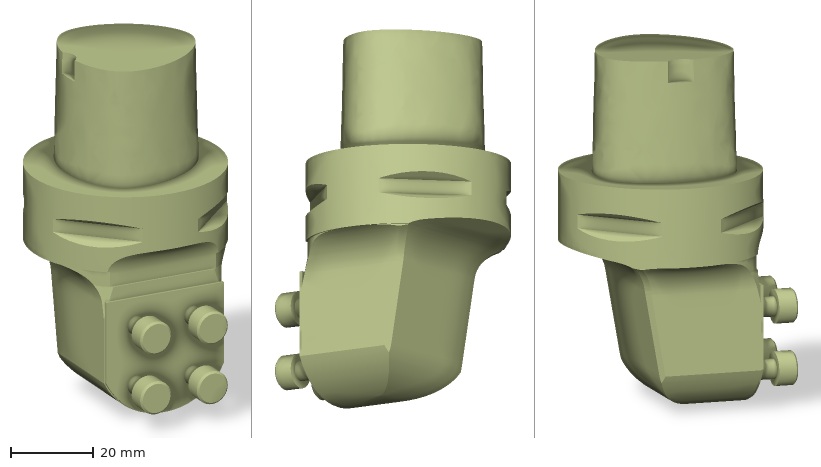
import cadquery as cq
import math

flange_radius = 25.0
flange_underside = -19.6

shank_height = 30.0
shank_width = 35.3
lobe_offset = 1.1
taper_per_side = 1 / 40
curve_points = 120
notch_radius = 4.1
notch_depth = 5.4
notch_inner_y = -14.0

slot_count = 4
slot_level = -10.0
slot_floor_radius = 22.2
slot_floor_width = 3.4
slot_flank_angle = math.radians(30)

bottom_level = -58.3
lean = math.radians(10)
flange_edge_level = -17.2
back_fillet_radius = 10.0
back_face_x = -9.2
back_face_level = -26.5
heel_radius = 12.0
bottom_slope = math.tan(math.radians(4))
bottom_slope_end_x = 13.4
body_half_width = 16.4
side_fillet_radius = 8.0
nose_radius = 18.28
corner_chamfer = 1.15
relief_x = 19.8
relief_radius = 6.0
relief_level = -20.3
relief_bottom = -23.5
front_x = 20.3
waist_radius = 24.55
flare_bottom = -32.0
flare_radius = 26.2

plate_x = 21.0
plate_top = -27.0
plate_margin = 0.3
screw_spacing = 15.5
screw_middle_level = -42.0
screw_shank_diameter = 5.0
screw_head_diameter = 8.5
screw_head_length = 5.0
screw_end_x = 31.48
screw_head_chamfer = 0.5


def lobed_wire(width, level):
    """Closed three-lobed curve of constant width, with one lobe toward +Y."""

    def point(turn):
        t = 2 * math.pi * turn
        support = width / 2 - lobe_offset * math.cos(3 * t)
        slope = 3 * lobe_offset * math.sin(3 * t)
        x = support * math.cos(t) - slope * math.sin(t)
        y = support * math.sin(t) + slope * math.cos(t)
        return (y, -x)

    return cq.Workplane("XY", origin=(0, 0, level)).parametricCurve(point, N=curve_points).val()


def make_shank():
    """Tapered shank with a rounded notch in the top of its -Y side."""
    top_width = shank_width - 2 * taper_per_side * shank_height
    wires = [lobed_wire(shank_width, 0), lobed_wire(top_width, shank_height)]
    shank = cq.Workplane(cq.Solid.makeLoft(wires, True))
    notch = (
        cq.Workplane("XY", origin=(0, 0, shank_height - notch_depth))
        .center(0, notch_inner_y - notch_radius)
        .circle(notch_radius)
        .extrude(notch_depth)
    )
    return shank.cut(notch)


def back_x(level):
    """X of the leaning back face at a given level."""
    return back_face_x + (back_face_level - level) * math.tan(lean)


def heel_corner():
    """Corner in XZ where the back face meets the gently rising bottom."""
    rise = bottom_slope * (bottom_slope_end_x - back_x(bottom_level))
    level = bottom_level + rise / (1 - bottom_slope * math.tan(lean))
    return back_x(level), level


def near(x, z):
    """Selector for the edge across the body closest to a place in the XZ plane."""
    return cq.selectors.NearestToPointSelector((x, 0, z))


def make_lengthwise_prism():
    """Holder outline in XZ, reaching past the flange on both sides in Y."""
    slope = math.tan(lean)
    under_level = flange_edge_level - flange_radius * slope
    crook_x = (back_x(0) - slope * under_level) / (1 - slope**2)
    crook_z = under_level - slope * crook_x
    heel_x, heel_level = heel_corner()
    relief_centre_x = relief_x + relief_radius
    relief_top = relief_level + math.sqrt(relief_radius**2 - (relief_centre_x - flange_radius) ** 2)
    mid_angle = math.radians(45)
    relief_middle = (
        relief_centre_x - relief_radius * math.cos(mid_angle),
        relief_level + relief_radius * math.sin(mid_angle),
    )
    outline = (
        cq.Workplane("XZ")
        .moveTo(-flange_radius, 0)
        .lineTo(-flange_radius, flange_edge_level)
        .lineTo(crook_x, crook_z)
        .lineTo(heel_x, heel_level)
        .lineTo(bottom_slope_end_x, bottom_level)
        .lineTo(front_x, bottom_level)
        .lineTo(front_x, relief_bottom)
        .lineTo(relief_x, relief_bottom)
        .lineTo(relief_x, relief_level)
        .threePointArc(relief_middle, (flange_radius, relief_top))
        .lineTo(flange_radius, 0)
        .close()
    )
    prism = outline.extrude(flare_radius, both=True)
    return prism.edges("|Y").edges(near(crook_x, crook_z)).fillet(back_fillet_radius)


def make_crosswise_prism():
    """Holder outline in YZ: full-width flange and stem joined by concave fillets."""
    stem = cq.Workplane("XY").box(
        2 * flange_radius, 2 * body_half_width, -bottom_level, centered=(True, True, False)
    )
    stem = stem.translate((0, 0, bottom_level))
    flange = cq.Workplane("XY").box(
        2 * flange_radius, 2 * flange_radius, -flange_underside, centered=(True, True, False)
    )
    flange = flange.translate((0, 0, flange_underside))
    prism = flange.union(stem)
    for side in (-1, 1):
        root = cq.selectors.NearestToPointSelector((0, side * body_half_width, flange_underside))
        prism = prism.edges("|X").edges(root).fillet(side_fillet_radius)
    return prism


def make_envelope():
    """Flange cylinder, then a slightly slimmer waist that flares outward below the relief."""
    return (
        cq.Workplane("XZ")
        .lineTo(flange_radius, 0)
        .lineTo(flange_radius, flange_underside)
        .lineTo(waist_radius, flange_underside)
        .lineTo(waist_radius, relief_bottom)
        .lineTo(flare_radius, flare_bottom)
        .lineTo(flare_radius, bottom_level)
        .lineTo(0, bottom_level)
        .close()
        .revolve(360, (0, 0), (0, 1))
    )


def make_nose_envelope():
    """Space as wide as the flange, closed below by a cylinder along X."""
    centre = bottom_level + nose_radius
    upper = cq.Workplane("XY").box(
        2 * flange_radius, 2 * flange_radius, -centre, centered=(True, True, False)
    )
    nose = (
        cq.Workplane("YZ", origin=(-flange_radius, 0, 0))
        .center(0, centre)
        .circle(nose_radius)
        .extrude(2 * flange_radius)
    )
    return upper.translate((0, 0, centre)).union(nose)


def make_body():
    """Flange and leaning holder body with chamfered back corners and a rounded underside."""
    body = make_envelope().intersect(make_lengthwise_prism()).intersect(make_crosswise_prism())
    for side in (-1, 1):
        back_corner = (back_x(flare_bottom), side * body_half_width, flare_bottom)
        body = body.edges(cq.selectors.NearestToPointSelector(back_corner)).chamfer(corner_chamfer)
    body = body.edges(near(*heel_corner())).fillet(heel_radius)
    return body.intersect(make_nose_envelope())


def make_gripper_slot():
    """Cutter across the +X side of the flange: flat floor and flanks that open outward."""
    reach = flange_radius + 1
    half_floor = slot_floor_width / 2
    half_mouth = half_floor + (reach - slot_floor_radius) * math.tan(slot_flank_angle)
    return (
        cq.Workplane("XZ")
        .moveTo(slot_floor_radius, slot_level - half_floor)
        .lineTo(reach, slot_level - half_mouth)
        .lineTo(reach, slot_level + half_mouth)
        .lineTo(slot_floor_radius, slot_level + half_floor)
        .close()
        .extrude(flange_radius, both=True)
    )


def make_plate():
    """Seat plate with the outline of the rounded body, set in by a small margin."""
    half_width = body_half_width - plate_margin
    radius = nose_radius - plate_margin
    centre = bottom_level + nose_radius
    shoulder = centre - math.sqrt(radius**2 - half_width**2)
    return (
        cq.Workplane("YZ", origin=(front_x, 0, 0))
        .moveTo(-half_width, plate_top)
        .lineTo(-half_width, shoulder)
        .threePointArc((0, centre - radius), (half_width, shoulder))
        .lineTo(half_width, plate_top)
        .close()
        .extrude(plate_x - front_x)
    )


def make_screw(y, z):
    """Screw along +X with a chamfered cylindrical head, standing proud of the plate."""
    head_x = screw_end_x - screw_head_length
    shank = (
        cq.Workplane("YZ", origin=(front_x, y, z))
        .circle(screw_shank_diameter / 2)
        .extrude(head_x - front_x)
    )
    head = (
        cq.Workplane("YZ", origin=(head_x, y, z))
        .circle(screw_head_diameter / 2)
        .extrude(screw_head_length)
        .faces(">X")
        .chamfer(screw_head_chamfer)
    )
    return shank.union(head)


holder = make_body()
for index in range(slot_count):
    angle = (index + 0.5) * 360 / slot_count
    holder = holder.cut(make_gripper_slot().rotate((0, 0, 0), (0, 0, 1), angle))

holder = holder.union(make_shank()).union(make_plate())
for row in (-0.5, 0.5):
    for column in (-0.5, 0.5):
        screw_y = column * screw_spacing
        screw_z = screw_middle_level + row * screw_spacing
        holder = holder.union(make_screw(screw_y, screw_z))

result = holder